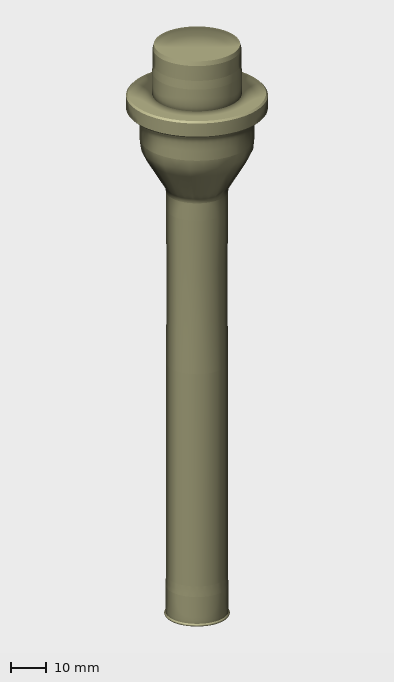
import cadquery as cq

TOTAL_HEIGHT = 174.0
TIP_HEIGHT = 1.4
TIP_DOME_HEIGHT = 0.55
STEM_TAPER_BOTTOM = 9.5
STEM_TAPER_TOP = 12.7
WAIST_BOTTOM = 77.3
WAIST_TOP = 124.0
CUP_BOTTOM = 129.3
CUP_SHOULDER = 145.5
FLANGE_BOTTOM = 154.0
FLANGE_TOP = 159.0
HEAD_TAPER_BOTTOM = 165.6
HEAD_TAPER_TOP = 168.2

STEM_RADIUS = 17.37 / 2
STEM_END_RADIUS = 17.55 / 2
WAIST_DEPTH = 0.2
CUP_RADIUS = 32.0 / 2
FLANGE_RADIUS = 39.5 / 2
HEAD_RADIUS = 25.0 / 2
HEAD_TOP_RADIUS = 24.7 / 2
TIP_RADIUS = 18.3 / 2

CUP_BELLY = (14.35, 139.8)
CUP_NECK = (9.75, 132.5)

FLANGE_CHAMFER = 0.5
HEAD_CHAMFER_WIDTH = 0.35
HEAD_CHAMFER_HEIGHT = 1.3

UP = (0, 1)

AXIS_START = (0, 0)
AXIS_END = (0, 1)


def make_rod():
    """Stem, cup, flange and head, turned as one solid about Z."""
    waist_middle = (STEM_RADIUS - WAIST_DEPTH, (WAIST_BOTTOM + WAIST_TOP) / 2)
    profile = (
        cq.Workplane("XZ")
        .moveTo(0, TIP_HEIGHT)
        .lineTo(STEM_END_RADIUS, TIP_HEIGHT)
        .lineTo(STEM_END_RADIUS, STEM_TAPER_BOTTOM)
        .lineTo(STEM_RADIUS, STEM_TAPER_TOP)
        .lineTo(STEM_RADIUS, WAIST_BOTTOM)
        .threePointArc(waist_middle, (STEM_RADIUS, WAIST_TOP))
        .lineTo(STEM_RADIUS, CUP_BOTTOM)
        .spline([CUP_NECK, CUP_BELLY, (CUP_RADIUS, CUP_SHOULDER)], tangents=[UP, UP], includeCurrent=True)
        .lineTo(CUP_RADIUS, FLANGE_BOTTOM)
        .lineTo(FLANGE_RADIUS - FLANGE_CHAMFER, FLANGE_BOTTOM)
        .lineTo(FLANGE_RADIUS, FLANGE_BOTTOM + FLANGE_CHAMFER)
        .lineTo(FLANGE_RADIUS, FLANGE_TOP - FLANGE_CHAMFER)
        .lineTo(FLANGE_RADIUS - FLANGE_CHAMFER, FLANGE_TOP)
        .lineTo(HEAD_RADIUS, FLANGE_TOP)
        .lineTo(HEAD_RADIUS, HEAD_TAPER_BOTTOM)
        .lineTo(HEAD_TOP_RADIUS, HEAD_TAPER_TOP)
        .lineTo(HEAD_TOP_RADIUS, TOTAL_HEIGHT - HEAD_CHAMFER_HEIGHT)
        .lineTo(HEAD_TOP_RADIUS - HEAD_CHAMFER_WIDTH, TOTAL_HEIGHT)
        .lineTo(0, TOTAL_HEIGHT)
        .close()
    )
    return profile.revolve(360, AXIS_START, AXIS_END)


def make_tip():
    """Thin end disc with a fully rounded rim and a slightly domed face, seated on the end of the stem."""
    rim_radius = (TIP_HEIGHT - TIP_DOME_HEIGHT) / 2
    face_radius = TIP_RADIUS - rim_radius
    dome_sphere_radius = (face_radius**2 + TIP_DOME_HEIGHT**2) / (2 * TIP_DOME_HEIGHT)
    profile = (
        cq.Workplane("XZ")
        .moveTo(0, TIP_HEIGHT)
        .lineTo(0, 0)
        .radiusArc((face_radius, TIP_DOME_HEIGHT), -dome_sphere_radius)
        .threePointArc((TIP_RADIUS, TIP_DOME_HEIGHT + rim_radius), (face_radius, TIP_HEIGHT))
        .close()
    )
    return profile.revolve(360, AXIS_START, AXIS_END)


rod = make_rod()
tip = make_tip()

result = cq.Compound.makeCompound([rod.val(), tip.val()])